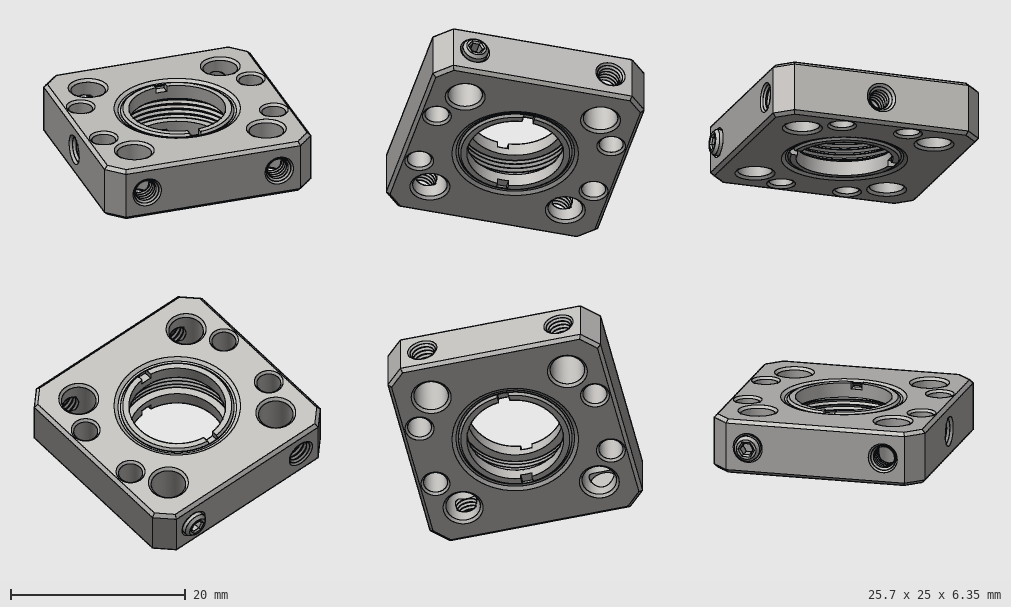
import cadquery as cq
import math

plate_width = 24.99
plate_thickness = 6.35
corner_cut = 1.93
edge_chamfer = 0.4
half_width = plate_width / 2
half_thickness = plate_thickness / 2

bore_crest_radius = 6.5
bore_root_radius = 6.78
bore_mouth_radius = 7.23
bore_chamfer_angle = 30.0
bore_thread_pitch = 0.635
bore_grooves_per_side = 4

rod_spacing = 16.0
rod_hole_diameter = 3.95
rod_mouth_diameter = 4.57
small_hole_diameter = 2.75
small_mouth_diameter = 3.3
small_hole_x = 4.0
small_hole_y = 10.3
rod_offset = rod_spacing / 2

side_mouth_radius = 1.72
rod_screw_crest_radius = 1.25
rod_screw_root_radius = 1.5
rod_screw_pitch = 0.5
post_crest_radius = 1.13
post_root_radius = 1.42
post_thread_pitch = 0.635
post_hole_depth = 4.0
drill_point_angle = 118.0
thread_crest_flat_fraction = 0.125

ring_inner_radius = 5.54
ring_thickness = 1.7
ring_chamfer = 0.27
ring_slot_width = 1.3
ring_slot_depth = 0.71

screw_length = 3.0
screw_protrusion = 0.69
screw_chamfer_length = 0.36
screw_chamfer_radial = 0.34
socket_mouth_flats = 1.7
socket_flats = 1.3
socket_depth = 1.5


def revolve_on_z(outline):
    """Revolve an outline of (radius, height) points about the Z axis."""
    return cq.Workplane("XZ").polyline(outline).close().revolve(360, (0, 0), (0, 1))


def mouth_cone(inner_radius, outer_radius, slope_angle=45.0):
    """Cone frustum, widest at Z = 0 and narrowing downwards."""
    depth = (outer_radius - inner_radius) * math.tan(math.radians(slope_angle))
    return revolve_on_z([(0, 0), (outer_radius, 0), (inner_radius, -depth), (0, -depth)])


def thread_groove(crest_radius, root_radius, pitch, height):
    """Ring-shaped V groove of one thread turn, centred on the given height."""
    half_mouth = pitch * (1 - thread_crest_flat_fraction) / 2
    core_radius = crest_radius / 2
    return revolve_on_z([
        (core_radius, height - half_mouth),
        (crest_radius, height - half_mouth),
        (root_radius, height),
        (crest_radius, height + half_mouth),
        (core_radius, height + half_mouth),
    ])


def countersunk_hole(diameter, mouth_diameter):
    """Through-hole cutter along Z with a countersink at both plate faces."""
    cutter = cq.Workplane("XY").circle(diameter / 2).extrude(half_thickness, both=True)
    cone = mouth_cone(diameter / 2, mouth_diameter / 2).translate((0, 0, half_thickness))
    return cutter.union(cone).union(cone.mirror("XY"))


def side_hole(crest_radius, root_radius, pitch, depth):
    """Threaded hole cutter running down from a countersunk mouth at Z = 0."""
    cutter = cq.Workplane("XY").circle(crest_radius).extrude(-depth)
    cutter = cutter.union(mouth_cone(root_radius, side_mouth_radius))
    for turn in range(1, int(depth / pitch) + 1):
        groove_height = -(turn - 0.5) * pitch
        cutter = cutter.union(thread_groove(crest_radius, root_radius, pitch, groove_height))
    return cutter


def onto_left_face(shape, y):
    """Turn a shape whose outward direction is +Z to face -X, and set it on the -X side."""
    return shape.rotate((0, 0, 0), (0, 1, 0), -90).translate((-half_width, y, 0))


def centre_bore():
    cutter = cq.Workplane("XY").circle(bore_crest_radius).extrude(half_thickness, both=True)
    for turn in range(-bore_grooves_per_side, bore_grooves_per_side + 1):
        groove_height = turn * bore_thread_pitch
        cutter = cutter.union(
            thread_groove(bore_crest_radius, bore_root_radius, bore_thread_pitch, groove_height)
        )
    cone = mouth_cone(bore_root_radius, bore_mouth_radius, bore_chamfer_angle)
    cone = cone.translate((0, 0, half_thickness))
    return cutter.union(cone).union(cone.mirror("XY"))


def post_hole():
    """Blind threaded hole in the -Y face, ending in a drill point."""
    cutter = side_hole(post_crest_radius, post_root_radius, post_thread_pitch, post_hole_depth)
    point_length = post_crest_radius / math.tan(math.radians(drill_point_angle / 2))
    point = revolve_on_z([
        (0, -post_hole_depth),
        (post_crest_radius, -post_hole_depth),
        (0, -post_hole_depth - point_length),
    ])
    cutter = cutter.union(point)
    return cutter.rotate((0, 0, 0), (1, 0, 0), 90).translate((0, -half_width, 0))


def make_plate():
    body = (
        cq.Workplane("XY")
        .rect(plate_width, plate_width)
        .extrude(half_thickness, both=True)
        .edges("|Z")
        .chamfer(corner_cut)
        .faces("<Z or >Z")
        .chamfer(edge_chamfer)
    )
    body = body.cut(centre_bore())

    rod_hole = countersunk_hole(rod_hole_diameter, rod_mouth_diameter)
    small_hole = countersunk_hole(small_hole_diameter, small_mouth_diameter)
    for x_side in (-1, 1):
        for y_side in (-1, 1):
            body = body.cut(rod_hole.translate((x_side * rod_offset, y_side * rod_offset, 0)))
            body = body.cut(small_hole.translate((x_side * small_hole_x, y_side * small_hole_y, 0)))

    clamp_depth = half_width - rod_offset
    open_hole = side_hole(
        rod_screw_crest_radius, rod_screw_root_radius, rod_screw_pitch, clamp_depth
    )
    screw_hole = cq.Workplane("XY").circle(rod_screw_root_radius).extrude(-clamp_depth)
    screw_hole = screw_hole.union(mouth_cone(rod_screw_root_radius, side_mouth_radius))
    body = body.cut(onto_left_face(screw_hole, rod_offset))
    body = body.cut(onto_left_face(open_hole, -rod_offset))
    for y in (-rod_offset, rod_offset):
        body = body.cut(onto_left_face(open_hole, y).mirror("YZ"))

    return body.cut(post_hole())


def make_retaining_ring():
    """Ring flush with the top face, with two spanner slots on the X axis."""
    top = half_thickness
    bottom = top - ring_thickness
    ring = revolve_on_z([
        (ring_inner_radius, bottom),
        (bore_crest_radius, bottom),
        (bore_crest_radius, top - ring_chamfer),
        (bore_crest_radius - ring_chamfer, top),
        (ring_inner_radius, top),
    ])
    slot = (
        cq.Workplane("XY", origin=(0, 0, top))
        .rect(2 * bore_mouth_radius, ring_slot_width)
        .extrude(-ring_slot_depth)
    )
    return ring.cut(slot)


def make_set_screw():
    """Set screw along Z, its outer end up, with a bevelled hexagon socket."""
    outer_end = screw_protrusion
    inner_end = outer_end - screw_length
    screw = revolve_on_z([
        (0, inner_end),
        (rod_screw_root_radius, inner_end),
        (rod_screw_root_radius, outer_end - screw_chamfer_length),
        (rod_screw_root_radius - screw_chamfer_radial, outer_end),
        (0, outer_end),
    ])
    flats_to_corners = 1 / math.cos(math.radians(30))
    bevel_depth = (socket_mouth_flats - socket_flats) / 2
    socket = (
        cq.Workplane("XY", origin=(0, 0, outer_end))
        .polygon(6, socket_flats * flats_to_corners)
        .extrude(-socket_depth)
    )
    bevel = (
        cq.Workplane("XY", origin=(0, 0, outer_end))
        .polygon(6, socket_mouth_flats * flats_to_corners)
        .workplane(offset=-bevel_depth)
        .polygon(6, socket_flats * flats_to_corners)
        .loft()
    )
    screw = screw.cut(socket).cut(bevel).rotate((0, 0, 0), (0, 0, 1), 90)
    return onto_left_face(screw, rod_offset)


plate = make_plate()
upper_ring = make_retaining_ring()
lower_ring = upper_ring.mirror("XY")
set_screw = make_set_screw()

bodies = [plate, upper_ring, lower_ring, set_screw]
result = cq.Compound.makeCompound([body.solids().val() for body in bodies])